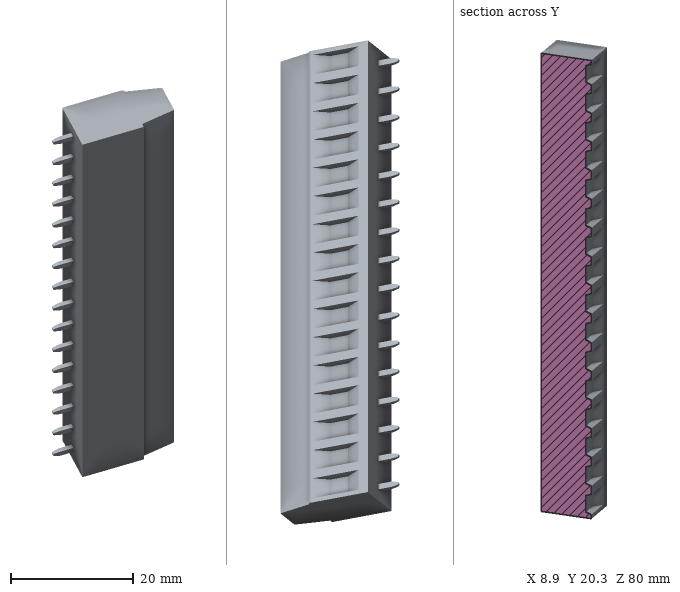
import cadquery as cq

pole_count = 16
pitch = 5.0
length = pole_count * pitch
width = 8.9
height = 16.8

shoulder_height = 10.8
left_ledge = 0.45
left_bevel_width = 0.15
left_bevel_height = 0.35
right_ledge = 0.7
left_crown_inset = 1.9
right_crown_inset = 1.7

mouth_height = 8.3
mouth_length = 3.5
floor_height = 3.2
floor_length = 2.8
funnel_depth = 0.95
mouth_center = 5.85
floor_center = 5.65

pin_width = 0.8
pin_thickness = 0.95
pin_length = 3.5
tip_length = 1.2
tip_width = 0.5
nose_radius = 0.3


def make_housing():
    """Extrude the housing outline along Z, with its base at Y = 0."""
    left = -width / 2
    right = width / 2
    outline = [
        (left, 0),
        (right, 0),
        (right, shoulder_height),
        (right - right_ledge, shoulder_height),
        (right - right_crown_inset, height),
        (left + left_crown_inset, height),
        (left + left_ledge, shoulder_height),
        (left + left_bevel_width, shoulder_height),
        (left, shoulder_height - left_bevel_height),
    ]
    return cq.Workplane("XY").polyline(outline).close().extrude(length)


def make_funnel(z):
    """Four-sided funnel that narrows from its mouth to a flat floor."""
    mouth_plane = cq.Plane(origin=(-width / 2, mouth_center, z), xDir=(0, 1, 0), normal=(1, 0, 0))
    return (
        cq.Workplane(mouth_plane)
        .rect(mouth_height, mouth_length)
        .workplane(offset=funnel_depth)
        .center(floor_center - mouth_center, 0)
        .rect(floor_height, floor_length)
        .loft(ruled=True)
    )


def make_pin(z):
    """Pin toward -Y, with a tip that narrows in X and Z and ends in a rounded nose."""
    half_thickness = pin_thickness / 2
    nose_start = -pin_length + nose_radius
    half_width = pin_width / 2
    half_tip = tip_width / 2
    tip_start = -pin_length + tip_length

    side_profile = (
        cq.Workplane(cq.Plane(origin=(-half_width, 0, z), xDir=(0, 1, 0), normal=(1, 0, 0)))
        .moveTo(0, -half_thickness)
        .lineTo(0, half_thickness)
        .lineTo(tip_start, half_thickness)
        .lineTo(nose_start, nose_radius)
        .threePointArc((-pin_length, 0), (nose_start, -nose_radius))
        .lineTo(tip_start, -half_thickness)
        .close()
        .extrude(pin_width)
    )
    top_outline = [
        (-half_width, 0),
        (half_width, 0),
        (half_width, tip_start),
        (half_tip, -pin_length),
        (-half_tip, -pin_length),
        (-half_width, tip_start),
    ]
    bottom = cq.Workplane("XY", origin=(0, 0, z - half_thickness))
    return bottom.polyline(top_outline).close().extrude(pin_thickness).intersect(side_profile)


result = make_housing()
for pole in range(pole_count):
    pole_z = (pole + 0.5) * pitch
    result = result.cut(make_funnel(pole_z)).union(make_pin(pole_z))